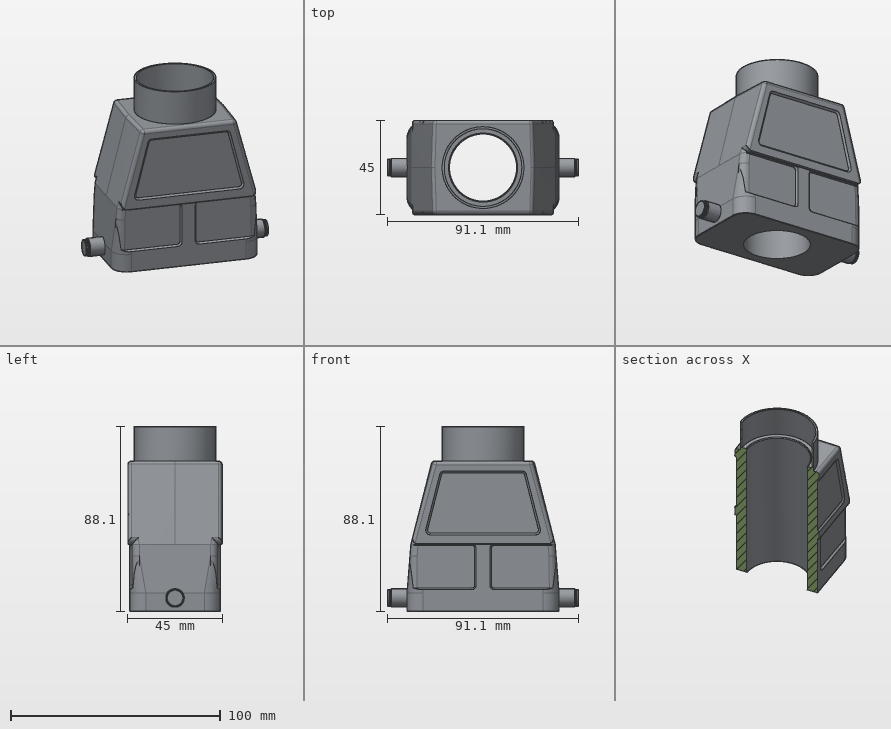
import cadquery as cq
import math

base_half_length = 36.3
base_half_width = 21.6
base_height = 8.9
base_corner_radius = 7.65
base_edge_chamfer = 0.3

shoulder_height = 31.9
shoulder_half_length = 34.4
flare_height = 26.4
body_corner_radius = 4.65

flat_end_half_width = base_half_width - body_corner_radius

core_half_width = 20.4
core_corner_radius = core_half_width - flat_end_half_width
core_foot_half_length = 36.1
core_foot_corner_radius = 4.5
core_top = 36.0

rib_half_width = 3.3
panel_bottom = 10.4
panel_top = shoulder_height + 0.4
panel_corner_radius = 2.2
panel_wall_run = 0.7

hood_height = 71.7
hood_top_half_length = 24.3
hood_half_width = 22.5
hood_top_ridge = 0.7
hood_edge_radius = 1.8
hood_bottom_corner_radius = 3.1
hood_lower_edge_chamfer = 0.5

recess_bottom = 36.5
recess_top = 67.0
recess_side_inset = 5.3
recess_depth = 0.9
recess_wall_run = 0.9
recess_corner_radius = 2.3

collar_top = 88.1
collar_diameter = 39.0
collar_bore_diameter = 37.0
ledge_height = 73.2
bore_diameter = 32.0
bore_chamfer = 0.5

pin_half_span = 45.55
pin_axis_height = 6.5
pin_diameter = 8.8
pin_tip_diameter = 8.0
pin_tip_length = 1.6
pin_groove_diameter = 7.65
pin_groove_start = 0.9
pin_groove_end = 1.4
pin_shoulder_chamfer = (pin_diameter - pin_tip_diameter) / 2
pin_tip_chamfer = 0.3
pin_root = 32.8

reach = 54.7


def half_length_at(z):
    """Half length at height z along the middle of the ends, on the lower body or on the hood."""
    if z < shoulder_height:
        rise = (z - base_height) / (shoulder_height - base_height)
        return base_half_length + rise * (shoulder_half_length - base_half_length)
    rise = (z - shoulder_height) / (hood_height - shoulder_height)
    return shoulder_half_length + rise * (hood_top_half_length - shoulder_half_length)


def flat_section(z, half_length, half_width, corner_radius):
    """Horizontal rectangle with rounded corners."""
    section = cq.Sketch().rect(2 * half_length, 2 * half_width).vertices().fillet(corner_radius)
    return section.moved(cq.Location(cq.Vector(0, 0, z)))


def ridged_section(z, ridge):
    """Horizontal section of the hood, its ends bulging by the ridge height at Y = 0."""
    ridge_x = half_length_at(z)
    corner_x = ridge_x - ridge
    points = [
        (ridge_x, 0), (corner_x, hood_half_width), (-corner_x, hood_half_width),
        (-ridge_x, 0), (-corner_x, -hood_half_width), (corner_x, -hood_half_width),
    ]
    section = cq.Sketch().polygon(points + points[:1])
    return section.moved(cq.Location(cq.Vector(0, 0, z)))


def stacked_loft(sections):
    """Solid with straight walls from each section to the next."""
    solid = cq.Workplane("XY")
    for below, above in zip(sections, sections[1:]):
        solid = solid.union(cq.Workplane("XY").placeSketch(below, above).loft(ruled=True))
    return solid


def make_base():
    outline = flat_section(0, base_half_length, base_half_width, base_corner_radius)
    base = cq.Workplane("XY").placeSketch(outline).extrude(base_height)
    return base.faces("<Z").chamfer(base_edge_chamfer)


def make_lower_body():
    corner_radii = {
        base_height: base_corner_radius,
        flare_height: body_corner_radius,
        shoulder_height: body_corner_radius,
    }
    return stacked_loft([
        flat_section(z, half_length_at(z), base_half_width, radius)
        for z, radius in corner_radii.items()
    ])


def make_core():
    foot = flat_section(base_height, core_foot_half_length, core_half_width, core_foot_corner_radius)
    upper_sections = [
        flat_section(z, half_length_at(z), core_half_width, core_corner_radius)
        for z in (flare_height, shoulder_height, core_top)
    ]
    return stacked_loft([foot] + upper_sections)


def make_panel_cutters(core):
    """Solids that cut the lower side panels, round the corners, back to the core."""
    depth = base_half_width - core_half_width
    draft = math.degrees(math.atan(panel_wall_run / depth))
    length = reach - rib_half_width
    height = panel_top - panel_bottom
    corner_x = shoulder_half_length - body_corner_radius
    corner_floor = panel_bottom + panel_wall_run
    cutters = cq.Workplane("XY")
    for x_side in (-1, 1):
        panel = (
            cq.Workplane("XZ", origin=(0, -base_half_width, 0))
            .center(x_side * (rib_half_width + length / 2), panel_bottom + height / 2)
            .sketch().rect(length, height).vertices().fillet(panel_corner_radius).finalize()
            .extrude(-depth, taper=draft)
        )
        corner = (
            cq.Workplane("XY", origin=(0, 0, corner_floor))
            .moveTo(x_side * (corner_x + reach) / 2, -(flat_end_half_width + core_half_width) / 2)
            .rect(reach - corner_x, core_half_width - flat_end_half_width)
            .extrude(panel_top - corner_floor)
        )
        cutter = panel.union(corner)
        cutters = cutters.add(cutter).add(cutter.mirror("XZ"))
    return cutters.combine().cut(core)


def make_hood_corner_cutter(core):
    """Rounds the lower hood corners beside the flat part of the ends, leaving the core uncut."""
    bottom_x = half_length_at(shoulder_height)
    top_x = half_length_at(core_top)
    height = core_top - shoulder_height
    outline = [
        (bottom_x, shoulder_height), (top_x, core_top),
        (-top_x, core_top), (-bottom_x, shoulder_height),
    ]
    kept = (
        cq.Workplane("XZ").polyline(outline)
        .close().extrude(reach, both=True)
        .edges("|Y").edges("<Z").fillet(hood_bottom_corner_radius)
    )
    band_width = reach - flat_end_half_width
    bands = (
        cq.Workplane("XY", origin=(0, 0, shoulder_height))
        .pushPoints([(0, side * (flat_end_half_width + band_width / 2)) for side in (-1, 1)])
        .rect(2 * reach, band_width).extrude(height)
    )
    return bands.cut(kept).cut(core)


def make_hood_edge_cutter():
    """Wedges along X that bevel the lower side edges of the hood."""
    wedge = (
        cq.Workplane("YZ")
        .moveTo(hood_half_width, shoulder_height)
        .lineTo(hood_half_width, shoulder_height + hood_lower_edge_chamfer)
        .lineTo(hood_half_width - hood_lower_edge_chamfer, shoulder_height)
        .close().extrude(reach, both=True)
    )
    return wedge.add(wedge.mirror("XZ")).combine()


def make_hood(core):
    hood = stacked_loft([ridged_section(shoulder_height, 0), ridged_section(hood_height, hood_top_ridge)])
    hood = hood.faces(">Y or <Y or >Z").edges("not <Z").fillet(hood_edge_radius)
    return hood.cut(make_hood_corner_cutter(core)).cut(make_hood_edge_cutter())


def make_recess_cutter():
    draft = math.degrees(math.atan(recess_wall_run / recess_depth))
    bottom_x = half_length_at(recess_bottom) - recess_side_inset
    top_x = half_length_at(recess_top) - recess_side_inset
    corners = [
        (bottom_x, recess_bottom), (top_x, recess_top),
        (-top_x, recess_top), (-bottom_x, recess_bottom),
    ]
    outline = cq.Sketch().polygon(corners + corners[:1]).vertices().fillet(recess_corner_radius)
    cutter = (
        cq.Workplane("XZ", origin=(0, -hood_half_width, 0))
        .placeSketch(outline).extrude(-recess_depth, taper=draft)
    )
    return cutter.add(cutter.mirror("XZ")).combine()


def make_collar():
    blend = hood_edge_radius
    return (
        cq.Workplane("XY").workplane(offset=hood_height - blend)
        .circle(collar_diameter / 2).extrude(collar_top - hood_height + blend)
    )


def make_bore():
    collar_radius = collar_bore_diameter / 2
    radius = bore_diameter / 2
    outline = [
        (0, 0), (radius, 0), (radius, ledge_height - bore_chamfer), (radius + bore_chamfer, ledge_height),
        (collar_radius, ledge_height), (collar_radius, collar_top), (0, collar_top),
    ]
    return cq.Workplane("XZ").polyline(outline).close().revolve(360, (0, 0), (0, 1))


def make_pins():
    radius = pin_diameter / 2
    tip_radius = pin_tip_diameter / 2
    groove_radius = pin_groove_diameter / 2
    shoulder = pin_half_span - pin_tip_length
    groove_inner_x = pin_half_span - pin_groove_end
    groove_outer_x = pin_half_span - pin_groove_start
    z = pin_axis_height
    outline = [
        (pin_root, z), (pin_root, z + radius), (shoulder - pin_shoulder_chamfer, z + radius),
        (shoulder, z + tip_radius),
        (groove_inner_x, z + tip_radius), (groove_inner_x, z + groove_radius),
        (groove_outer_x, z + groove_radius), (groove_outer_x, z + tip_radius),
        (pin_half_span - pin_tip_chamfer, z + tip_radius),
        (pin_half_span, z + tip_radius - pin_tip_chamfer), (pin_half_span, z),
    ]
    pin = cq.Workplane("XZ").polyline(outline).close().revolve(360, (pin_root, z), (pin_half_span, z))
    return pin.add(pin.mirror("YZ")).combine()


core = make_core()
lower_body = make_lower_body().cut(make_panel_cutters(core))
hood = make_hood(core).cut(make_recess_cutter())
housing = make_base().union(lower_body).union(hood).union(make_collar())
result = housing.cut(make_bore()).union(make_pins())